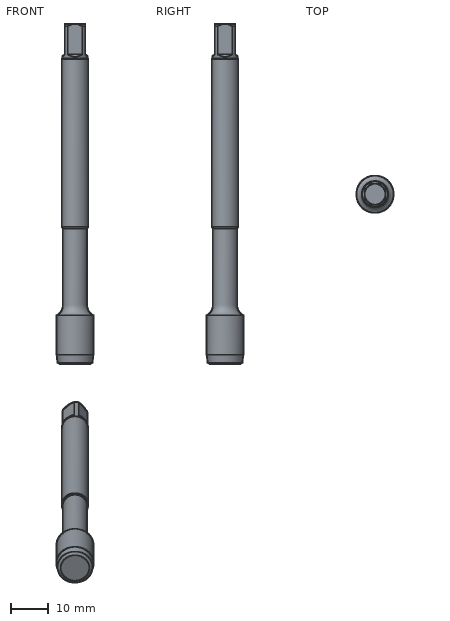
import cadquery as cq
import math

total_length = 90.0
head_diameter = 9.9
head_length = 13.0

lead_length = 2.6
lead_top_diameter = 9.8
lead_bottom_diameter = 9.3
tip_diameter = 7.6
tip_chamfer_height = 0.45

neck_diameter = 6.5
flare_height = 2.7

shank_diameter = 7.0
shank_bottom = 35.9
shank_bottom_bevel = 0.45
shank_top = 81.0
shank_top_bevel = 0.4

drive_corner_diameter = 6.75
drive_width = 5.5
drive_flat_bottom = 82.0
drive_top_chamfer = 0.6

head_radius = head_diameter / 2
neck_radius = neck_diameter / 2
shank_radius = shank_diameter / 2
corner_radius = drive_corner_diameter / 2


def revolve_profile(profile):
    """Revolve a closed radius-height outline about the Z axis."""
    return profile.close().revolve(360, (0, 0), (0, 1))


def make_head():
    """Cylindrical head with a slightly tapered lead and a chamfered tip."""
    outline = (
        cq.Workplane("XZ")
        .lineTo(tip_diameter / 2, 0)
        .lineTo(lead_bottom_diameter / 2, tip_chamfer_height)
        .lineTo(lead_top_diameter / 2, lead_length)
        .lineTo(head_radius, lead_length)
        .lineTo(head_radius, head_length)
        .lineTo(0, head_length)
    )
    return revolve_profile(outline)


def make_drive_flat_cutter():
    """Material outside the square drive, ending in a 45 degree run-out at its bottom."""
    run_out = (shank_diameter - drive_width) / 2
    run_out_bottom = drive_flat_bottom - run_out
    outer_width = drive_width + 2 * run_out
    core = (
        cq.Workplane("XY", origin=(0, 0, drive_flat_bottom))
        .rect(drive_width, drive_width)
        .extrude(total_length - drive_flat_bottom)
    )
    run_out_core = (
        cq.Workplane("XY", origin=(0, 0, run_out_bottom))
        .rect(outer_width, outer_width)
        .workplane(offset=run_out)
        .rect(drive_width, drive_width)
        .loft(ruled=True)
    )
    envelope = (
        cq.Workplane("XY", origin=(0, 0, run_out_bottom))
        .rect(outer_width, outer_width)
        .extrude(total_length - run_out_bottom)
    )
    return envelope.cut(core).cut(run_out_core)


def make_shank():
    """Flared neck, shank and square drive in one piece, standing on the head."""
    flare_width = head_radius - neck_radius
    flare_radius = (flare_height**2 + flare_width**2) / (2 * flare_width)
    half_angle = math.asin(flare_height / flare_radius) / 2
    flare_mid_radius = neck_radius + flare_radius * (1 - math.cos(half_angle))
    flare_top = head_length + flare_height
    flare_mid_height = flare_top - flare_radius * math.sin(half_angle)

    outline = (
        cq.Workplane("XZ")
        .moveTo(0, head_length)
        .lineTo(head_radius, head_length)
        .threePointArc((flare_mid_radius, flare_mid_height), (neck_radius, flare_top))
        .lineTo(neck_radius, shank_bottom)
        .lineTo(shank_radius, shank_bottom + shank_bottom_bevel)
        .lineTo(shank_radius, shank_top - shank_top_bevel)
        .lineTo(corner_radius, shank_top)
        .lineTo(corner_radius, total_length - drive_top_chamfer)
        .lineTo(corner_radius - drive_top_chamfer, total_length)
        .lineTo(0, total_length)
    )
    return revolve_profile(outline).cut(make_drive_flat_cutter())


head = make_head()
shank = make_shank()

result = cq.Compound.makeCompound([head.val(), shank.val()])